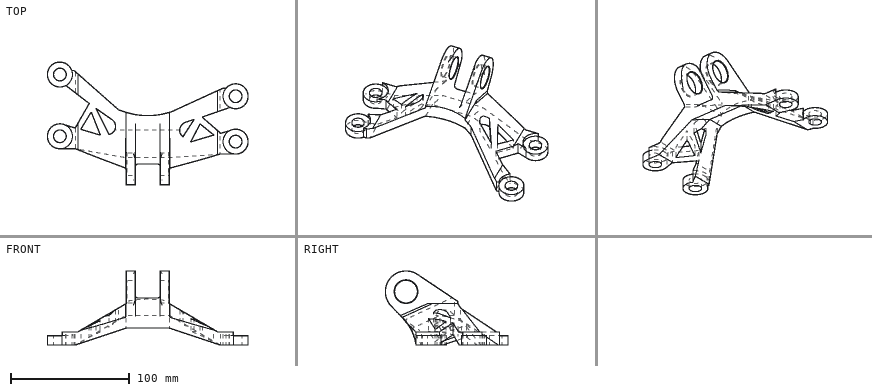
import math

import cadquery as cq


CLEVIS_HALF_WIDTH = 18.14
POCKET_HALF_WIDTH = 10.4
POCKET_CORNER_RADIUS = 3.0
LIP_RADIUS = 2.0
PIN_HEIGHT = 45.0
PIN_DIAMETER = 19.05
PIN_CHAMFER = 0.5
NOSE_RADIUS = 17.48
TOP_ANGLE = 33.8
FRONT_ANGLE = 46.0
FLOOR_ANGLE = 25.0
POCKET_FRONT = (0.0, 21.75)
BASE_BOTTOM = 14.2
BASE_REAR_BOTTOM = 25.0
REAR_MIDDLE_Y = 40.9
REAR_RADIUS = 61.0

PAD_X = 74.0
PAD_RADIUS = 10.58
PAD_HEIGHT = 8.0
BOLT_DIAMETER = 10.5
ANKLE_HEIGHT = 11.2
ANKLE_END = 72.1

ARM_TOP_START = 58.8
ARM_BOTTOM_START = 60.8
ARM_TOP_HEIGHT = 35.0
RIDGE_HEIGHT = 24.8
BEVEL_START = 18.9
BEVEL_RIDGE = (-3.3, 23.3)
SEAM_REAR = (18.9, 35.2)
BEVEL_END = 56.9
RIDGE_OVERSHOOT = 0.1
BIG = 120.0

ARM_RISE = (ARM_TOP_HEIGHT - ANKLE_HEIGHT) / (ARM_TOP_START - CLEVIS_HALF_WIDTH)

LEFT_ARM = {
    "rear_pad": 75.48,
    "front_pad": 23.5,
    "rear_edge": [(24.5, 45.8), (62.0, 78.9), (67.0, 78.9)],
    "notch": [(68.8, 66.1), (49.4, 51.1), (61.1, 30.5), (69.3, 33.0)],
    "outer_window": [(47.6, 43.7), (56.3, 29.4), (40.05, 24.6)],
    "inner_window_tip": (43.5, 46.8),
    "inner_window_arc": [(29.5, 37.0), (27.3, 30.4), (32.6, 25.1)],
    "crease": [(BEVEL_START, 21.5), (27.3, 27.6), (36.7, 33.4), (44.3, 36.1), (54.5, 28.5)],
    "ridge_end": 11.3,
}
RIGHT_ARM = {
    "rear_pad": 57.2,
    "front_pad": 19.0,
    "rear_edge": [(23.4, 45.8), (63.2, 64.0), (66.0, 64.0)],
    "notch": [(68.6, 47.5), (45.9, 39.6), (61.4, 26.1), (68.8, 28.2)],
    "outer_window": [(44.1, 33.8), (55.5, 24.6), (36.3, 18.9)],
    "inner_window_tip": (38.9, 37.6),
    "inner_window_arc": [(31.6, 35.1), (27.2, 30.2), (29.6, 23.1)],
    "crease": [(BEVEL_START, 21.5), (27.5, 25.3), (32.4, 27.4), (41.8, 29.7), (53.8, 23.8)],
    "ridge_end": 7.6,
}


def arm_top(x):
    """Height of the sloping top of an arm."""
    return ANKLE_HEIGHT + ARM_RISE * (ARM_TOP_START - x)


def rear_y(x):
    """Y of the hollow rear face, an arc in plan."""
    return REAR_MIDDLE_Y + REAR_RADIUS - math.sqrt(REAR_RADIUS**2 - x**2)


def top_normal():
    """Outward direction (Y, Z) of the sloping top of the lugs."""
    slope = math.radians(TOP_ANGLE)
    return math.sin(slope), math.cos(slope)


def front_normal():
    """Outward direction (Y, Z) of the sloping front of the lugs."""
    slope = math.radians(FRONT_ANGLE)
    return -math.sin(slope), -math.cos(slope)


def nose_point(normal):
    """Point (Y, Z) of the round nose where its outward direction is the given one."""
    return NOSE_RADIUS * normal[0], PIN_HEIGHT + NOSE_RADIUS * normal[1]


def front_line_y(z):
    """Y of the sloping front face of the clevis at height z."""
    tangent_y, tangent_z = nose_point(front_normal())
    return tangent_y + (tangent_z - z) / math.tan(math.radians(FRONT_ANGLE))


def top_line_z(y):
    """Height of the sloping top of the lugs at y."""
    tangent_y, tangent_z = nose_point(top_normal())
    return tangent_z - (y - tangent_y) * math.tan(math.radians(TOP_ANGLE))


def underside_knee_y():
    """Y where the clevis underside turns from sloping to level."""
    rise = BASE_REAR_BOTTOM - BASE_BOTTOM
    return front_line_y(BASE_BOTTOM) + rise / math.tan(math.radians(FLOOR_ANGLE))


def make_pocket():
    """Round-cornered trough between the lugs, running down the sloping floor."""
    trough = (
        cq.Workplane("XY")
        .box(2 * POCKET_HALF_WIDTH, 2 * BIG, BIG, centered=(True, True, False))
        .edges("|Y and <Z")
        .fillet(POCKET_CORNER_RADIUS)
    )
    return trough.rotate((0, 0, 0), (1, 0, 0), FLOOR_ANGLE).translate((0, *POCKET_FRONT))


def make_nose():
    """Outline of the clevis with its round nose, as a prism along X."""
    return (
        cq.Workplane("YZ")
        .moveTo(*nose_point(top_normal()))
        .threePointArc((-NOSE_RADIUS, PIN_HEIGHT), nose_point(front_normal()))
        .lineTo(front_line_y(-BIG), -BIG)
        .lineTo(BIG, -BIG)
        .lineTo(BIG, top_line_z(BIG))
        .close()
        .extrude(BIG, both=True)
    )


def make_clevis():
    """Two round-nosed lugs on a sloping base, with a rounded lip around the pocket."""
    rear = rear_y(CLEVIS_HALF_WIDTH)
    blunt_z = PIN_HEIGHT
    blunt_y = front_line_y(blunt_z)
    outline = [
        (front_line_y(BASE_BOTTOM), BASE_BOTTOM),
        (underside_knee_y(), BASE_REAR_BOTTOM),
        (rear, BASE_REAR_BOTTOM),
        (rear, top_line_z(rear)),
        (blunt_y, top_line_z(blunt_y)),
        (blunt_y, blunt_z),
    ]
    clevis = cq.Workplane("YZ").polyline(outline).close().extrude(CLEVIS_HALF_WIDTH, both=True)
    rear_hollow = (
        cq.Workplane("XY").center(0, REAR_MIDDLE_Y + REAR_RADIUS).circle(REAR_RADIUS).extrude(BIG)
    )
    clevis = clevis.cut(rear_hollow).cut(make_pocket())
    reach = POCKET_HALF_WIDTH + LIP_RADIUS / 2
    lip_edges = cq.selectors.BoxSelector(
        (-reach, -BIG, BASE_BOTTOM + LIP_RADIUS), (reach, REAR_MIDDLE_Y, BIG)
    )
    for normal in (top_normal(), front_normal()):
        outermost = cq.selectors.DirectionMinMaxSelector(cq.Vector(0, *normal), True)
        clevis = clevis.faces(outermost).edges(lip_edges).fillet(LIP_RADIUS)
    return clevis.intersect(make_nose())


def section(x, points):
    """Closed wire in the plane at x from (Y, Z) points."""
    return cq.Wire.makePolygon([cq.Vector(x, y, z) for y, z in points], close=True)


def make_arm_envelope(arm):
    """Twisted body of an arm, from the clevis out to the ankle."""
    ankle_front = arm["front_pad"] - PAD_RADIUS
    knee = underside_knee_y()
    inner_front = front_line_y(RIDGE_HEIGHT)
    inner = [
        (front_line_y(BASE_BOTTOM), BASE_BOTTOM),
        (inner_front, RIDGE_HEIGHT),
        (inner_front, BIG),
        (BIG, BIG),
        (BIG, BASE_REAR_BOTTOM),
        (knee, BASE_REAR_BOTTOM),
    ]
    outer = [
        (ankle_front, 0),
        (ankle_front, ANKLE_HEIGHT),
        (ankle_front, BIG),
        (BIG, BIG),
        (BIG, 0),
        (knee, 0),
    ]
    wires = [section(CLEVIS_HALF_WIDTH, inner), section(ARM_BOTTOM_START, outer)]
    twisted = cq.Workplane(cq.Solid.makeLoft(wires, True))
    ankle = cq.Workplane("XY").box(BIG, BIG, BIG, centered=False)
    ankle = ankle.translate((ARM_BOTTOM_START, ankle_front, 0))
    side = [
        (CLEVIS_HALF_WIDTH, 0),
        (BIG, 0),
        (BIG, ANKLE_HEIGHT),
        (ARM_TOP_START, ANKLE_HEIGHT),
        (CLEVIS_HALF_WIDTH, ARM_TOP_HEIGHT),
    ]
    side_prism = cq.Workplane("XZ").polyline(side).close().extrude(BIG, both=True)
    return twisted.union(ankle).intersect(side_prism)


def make_arm_plan(arm):
    """Outline of an arm seen from above, with its two windows, as a tall prism."""
    bend = arm["rear_edge"][0]
    middle = (CLEVIS_HALF_WIDTH + bend[0]) / 2
    outline = (
        cq.Workplane("XY")
        .moveTo(CLEVIS_HALF_WIDTH, rear_y(CLEVIS_HALF_WIDTH))
        .threePointArc((middle, rear_y(middle)), bend)
    )
    points = arm["rear_edge"][1:]
    points = points + [(PAD_X, arm["rear_pad"])] + arm["notch"]
    points = points + [(ANKLE_END, arm["front_pad"]), (ANKLE_END, -BIG), (CLEVIS_HALF_WIDTH, -BIG)]
    for point in points:
        outline = outline.lineTo(*point)
    plan = outline.close().extrude(BIG)

    outer_window = cq.Workplane("XY").polyline(arm["outer_window"]).close().extrude(BIG)
    arc_start, arc_middle, arc_end = arm["inner_window_arc"]
    inner_window = (
        cq.Workplane("XY")
        .moveTo(*arm["inner_window_tip"])
        .lineTo(*arc_start)
        .threePointArc(arc_middle, arc_end)
        .close()
        .extrude(BIG)
    )
    return plan.cut(outer_window).cut(inner_window)


def space_above(lower_edge, upper_edge):
    """Everything above the ruled surface spanned by two edges."""
    face = cq.Face.makeRuledSurface(lower_edge, upper_edge)
    return cq.Workplane(cq.Solid.extrudeLinear(face, cq.Vector(0, 0, BIG)))


def make_bevel(arm):
    """Cut that bends the front of an arm's top down to its front ridge."""
    crease = [cq.Vector(x, y, arm_top(x)) for x, y in arm["crease"]]
    ridge_start = cq.Vector(BEVEL_START, *BEVEL_RIDGE)
    ridge_end = cq.Vector(BEVEL_END, arm["ridge_end"], arm_top(BEVEL_END))
    seam_rear = cq.Vector(CLEVIS_HALF_WIDTH, *SEAM_REAR)
    seam_front = cq.Vector(CLEVIS_HALF_WIDTH, front_line_y(RIDGE_HEIGHT), RIDGE_HEIGHT)

    def overshoot(rear, front):
        """Point a little beyond the front one, in line with both."""
        return front + (front - rear) * RIDGE_OVERSHOOT

    low_start = overshoot(crease[0], ridge_start)
    low_end = overshoot(crease[-1], ridge_end)
    low_seam = overshoot(seam_rear, seam_front)
    main = space_above(cq.Edge.makeLine(low_start, low_end), cq.Edge.makeSpline(crease))
    strip = space_above(cq.Edge.makeLine(low_seam, low_start), cq.Edge.makeLine(seam_rear, crease[0]))
    return main.union(strip)


def make_arm(arm):
    """One complete arm with its two drilled pads, on the +X side."""
    body = make_arm_envelope(arm).intersect(make_arm_plan(arm)).cut(make_bevel(arm))
    centres = [(PAD_X, arm["rear_pad"]), (PAD_X, arm["front_pad"])]
    sketch = cq.Workplane("XY").pushPoints(centres)
    pads = sketch.circle(PAD_RADIUS).extrude(PAD_HEIGHT)
    spot_faces = sketch.circle(PAD_RADIUS).extrude(BIG).translate((0, 0, PAD_HEIGHT))
    bolts = sketch.circle(BOLT_DIAMETER / 2).extrude(BIG)
    return body.union(pads).cut(spot_faces).cut(bolts)


def cut_pin_hole(body):
    """Bore both lugs for the pin and chamfer all four rims."""
    hole = (
        cq.Workplane("YZ")
        .center(0, PIN_HEIGHT)
        .circle(PIN_DIAMETER / 2)
        .extrude(CLEVIS_HALF_WIDTH, both=True)
    )
    reach = PIN_DIAMETER / 2 + PIN_CHAMFER
    rims = cq.selectors.BoxSelector(
        (-BIG, -reach, PIN_HEIGHT - reach), (BIG, reach, PIN_HEIGHT + reach), boundingbox=True
    )
    return body.cut(hole).edges("%CIRCLE").edges(rims).chamfer(PIN_CHAMFER)


clevis = cut_pin_hole(make_clevis())
result = clevis.union(make_arm(RIGHT_ARM)).union(make_arm(LEFT_ARM).mirror("YZ"))